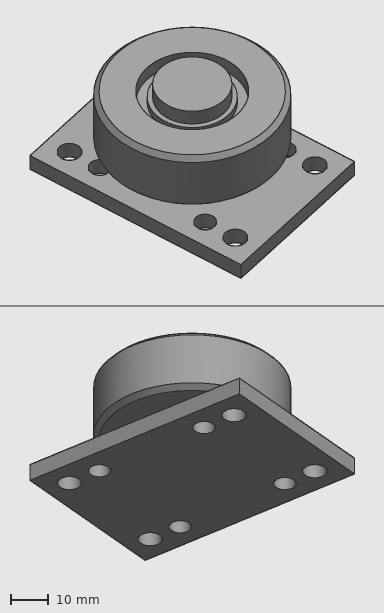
import cadquery as cq

plate_length = 70.0
plate_width = 50.0
plate_thickness = 5.0
hole_row_y = 17.5
outer_hole_x = 27.5
outer_hole_diameter = 6.5
inner_hole_x = 17.5
inner_hole_diameter = 6.0

overall_height = 32.05
roller_bottom = 11.55
roller_height = 18.0
roller_top = roller_bottom + roller_height

roller_diameter = 52.3
roller_chamfer = 1.5
recess_diameter = 29.9
recess_depth = 4.2

shoulder_diameter = 25.0
journal_diameter = 21.0
sleeve_diameter = 23.9
journal_projection = 4.6
sleeve_height = overall_height - journal_projection - roller_bottom


def cylinder(diameter, bottom, height):
    """Upright cylinder on the Z axis."""
    return cq.Workplane("XY").workplane(offset=bottom).circle(diameter / 2).extrude(height)


def make_plate():
    """Rectangular plate with two mounting hole patterns."""
    plate = cq.Workplane("XY").box(
        plate_length, plate_width, plate_thickness, centered=(True, True, False)
    )
    hole_patterns = [(outer_hole_x, outer_hole_diameter), (inner_hole_x, inner_hole_diameter)]
    for hole_x, diameter in hole_patterns:
        plate = (
            plate.faces(">Z").workplane(origin=(0, 0, plate_thickness))
            .rect(2 * hole_x, 2 * hole_row_y, forConstruction=True)
            .vertices()
            .hole(diameter)
        )
    return plate


def make_stud():
    """Stud standing on the plate: wide shoulder below, journal above."""
    shoulder = cylinder(shoulder_diameter, plate_thickness, roller_bottom - plate_thickness)
    journal = cylinder(journal_diameter, roller_bottom, overall_height - roller_bottom)
    return shoulder.union(journal)


def make_sleeve():
    """Sleeve around the journal, resting on the shoulder."""
    sleeve = cylinder(sleeve_diameter, roller_bottom, sleeve_height)
    return sleeve.cut(cylinder(journal_diameter, roller_bottom, sleeve_height))


def make_roller():
    """Chamfered roller with a bore for the sleeve and a recess in its top."""
    roller = cylinder(roller_diameter, roller_bottom, roller_height).edges().chamfer(roller_chamfer)
    bore = cylinder(sleeve_diameter, roller_bottom, roller_height)
    recess = cylinder(recess_diameter, roller_top - recess_depth, recess_depth)
    return roller.cut(bore).cut(recess)


plate = make_plate()
stud = make_stud()
sleeve = make_sleeve()
roller = make_roller()

result = cq.Compound.makeCompound([plate.val(), stud.val(), sleeve.val(), roller.val()])